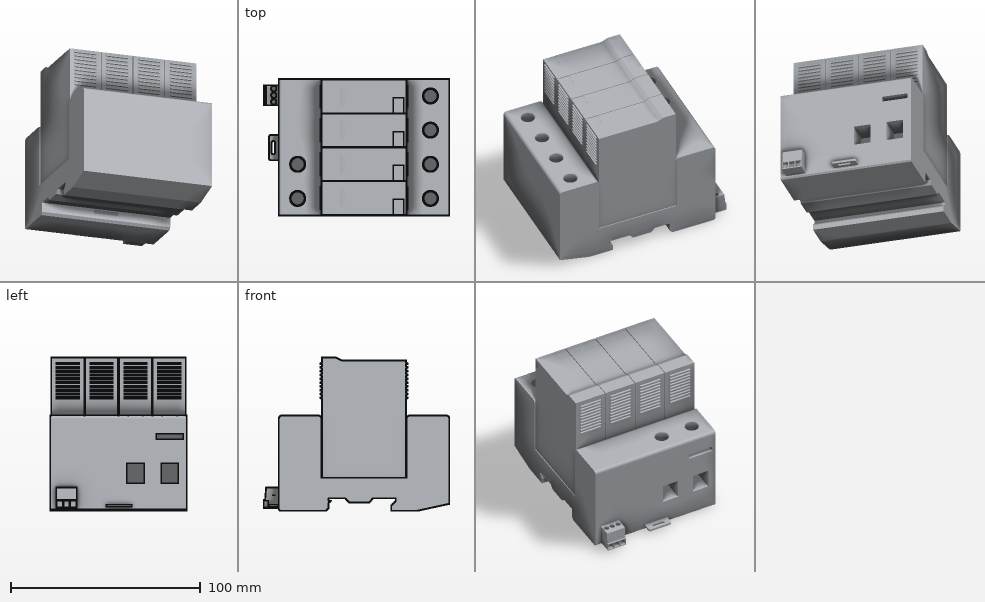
import cadquery as cq


pole_count = 4
pole_pitch = 18.0
base_length = 90.0
base_width = pole_count * pole_pitch
shoulder_height = 50.4
edge_radius = 1.8
foot_chamfer = 0.8

bay_start = 22.55
bay_end = 67.4
bay_gap = 0.2
module_start = bay_start + bay_gap
module_end = bay_end - bay_gap
module_floor = 17.6
module_pitch = 17.85
module_width = 17.5
first_module_side = (base_width - (pole_count - 1) * module_pitch - module_width) / 2
total_height = 80.9
module_rear_height = 79.4
grip_end = 30.15
grip_edge_radius = 0.8
grip_slope_end = 33.2
grip_foot_radius = 1.6
window_start = 60.4
window_length = 5.6
window_width = 8.1
window_depth = 0.1

rib_count = 10
rib_pitch = 2.0
rib_root_height = 0.9
rib_tip_height = 0.5
rib_length = 12.0
rib_projection = 0.8
rib_top_center = 77.65

rail_start = 26.3
rail_lead_in = 1.4
rail_ceiling = 6.6
rail_end = 61.7
rail_hook_start = 59.3
rail_hook_bottom = 2.9
rail_hook_top = 5.2
keel_start = 35.1
keel_end = 49.7
keel_slope = 2.0
keel_bottom = 4.4
tail_start = 73.0
tail_rise = 3.7

well_diameter = 7.3
well_rim = 0.4
well_depth = 12.0
well_offset = 10.0
front_well_count = 2

entry_width = 9.1
entry_bottom = 14.5
entry_top = 25.2
entry_depth = 14.0
slit_side = 2.0
slit_width = 14.1
slit_bottom = 37.8
slit_height = 2.8
slit_depth = 5.0

signal_count = 3
signal_pitch = 3.5
signal_end_margin = 0.1
signal_width = signal_count * signal_pitch + 2 * signal_end_margin
signal_center = 63.4
signal_bottom = 1.5
signal_top = 12.4
signal_nose_top = 5.8
signal_reach = 7.95
signal_slope_foot = 7.2
signal_slope_head = 6.7
signal_lip_bevel = 0.25
signal_hole_offset = 2.6
signal_hole_diameter = 2.9
signal_hole_depth = 4.0
signal_socket_width = 3.1
signal_socket_height = 3.4
signal_socket_sill = 0.5
signal_socket_depth = 2.5

tab_start = 29.1
tab_end = 42.5
tab_reach = 5.1
tab_bottom = 2.1
tab_thickness = 1.2
tab_corner = 1.0
tab_slot_length = 7.0
tab_slot_width = 1.6
tab_slot_offset = 2.85
catch_bottom = 4.1
catch_top = 5.5
catch_reach = 1.4


def box(x_range, y_range, z_range):
    """Box spanning the given (low, high) limits on each axis."""
    size = [high - low for low, high in (x_range, y_range, z_range)]
    corner = (x_range[0], y_range[0], z_range[0])
    return cq.Workplane("XY").box(*size, centered=False).translate(corner)


def side_profile(y_start):
    """Sketch plane with local axes X and Z whose extrusion runs toward +Y."""
    return cq.Workplane("XZ", origin=(0, y_start, 0))


def pole_center(index):
    """Y of a pole's middle on the base."""
    return (index + 0.5) * pole_pitch


def make_base():
    outline = [
        (0, 0),
        (rail_start - rail_lead_in, 0),
        (rail_start, rail_lead_in),
        (rail_start, rail_ceiling),
        (keel_start, rail_ceiling),
        (keel_start + keel_slope, keel_bottom),
        (keel_end - keel_slope, keel_bottom),
        (keel_end, rail_ceiling),
        (rail_end, rail_ceiling),
        (rail_end, rail_hook_top),
        (rail_hook_start, rail_hook_bottom),
        (rail_hook_start, 0),
        (tail_start, 0),
        (base_length, tail_rise),
        (base_length, shoulder_height),
        (bay_end, shoulder_height),
        (bay_end, module_floor),
        (bay_start, module_floor),
        (bay_start, shoulder_height),
        (0, shoulder_height),
    ]
    base = side_profile(0).polyline(outline).close().extrude(-base_width)
    shoulder_edges = base.faces(">Z").edges("|Y")
    base = shoulder_edges.fillet(edge_radius)
    return base.faces("<X").edges("<Z").chamfer(foot_chamfer)


def make_rib_pair(side, center):
    """One bar through the module whose two ends project as tapered ribs."""
    root = rib_root_height / 2
    tip = rib_tip_height / 2
    front_tip = module_start - rib_projection
    rear_tip = module_end + rib_projection
    outline = [
        (front_tip, center - tip),
        (module_start, center - root),
        (module_end, center - root),
        (rear_tip, center - tip),
        (rear_tip, center + tip),
        (module_end, center + root),
        (module_start, center + root),
        (front_tip, center + tip),
    ]
    return side_profile(side).polyline(outline).close().extrude(-rib_length)


def make_module(index):
    """Plug-in module with a raised grip, an indicator window and cooling ribs."""
    side = first_module_side + index * module_pitch
    outline = [
        (module_start, module_floor),
        (module_end, module_floor),
        (module_end, module_rear_height),
        (grip_slope_end, module_rear_height),
        (grip_end, total_height),
        (module_start, total_height),
    ]
    module = side_profile(side).polyline(outline).close().extrude(-module_width)
    middle = side + module_width / 2
    grip_edge = cq.selectors.NearestToPointSelector((grip_end, middle, total_height))
    module = module.edges(grip_edge).fillet(grip_edge_radius)
    grip_foot = cq.selectors.NearestToPointSelector((grip_slope_end, middle, module_rear_height))
    module = module.edges(grip_foot).fillet(grip_foot_radius)
    window = box(
        (window_start, window_start + window_length),
        (side, side + window_width),
        (module_rear_height - window_depth, module_rear_height),
    )
    module = module.cut(window)

    rib_side = side + (module_width - rib_length) / 2
    for rib in range(rib_count):
        rib_center = rib_top_center - rib * rib_pitch
        module = module.union(make_rib_pair(rib_side, rib_center))
    return module


def make_well(x, y):
    """Screw well with a chamfered rim, sunk from the shoulder."""
    well = cq.Workplane("XY", origin=(x, y, shoulder_height - well_depth))
    well = well.circle(well_diameter / 2).extrude(well_depth)
    rim_radius = well_diameter / 2 + well_rim
    rim = cq.Workplane("XY", origin=(x, y, shoulder_height))
    rim = rim.circle(rim_radius).extrude(-well_rim, taper=45)
    return well.union(rim)


def cut_openings(base):
    for index in range(pole_count):
        base = base.cut(make_well(base_length - well_offset, pole_center(index)))
    for index in range(front_well_count):
        center = pole_center(index)
        base = base.cut(make_well(well_offset, center))
        base = base.cut(box(
            (0, entry_depth),
            (center - entry_width / 2, center + entry_width / 2),
            (entry_bottom, entry_top),
        ))
    return base.cut(box(
        (0, slit_depth),
        (slit_side, slit_side + slit_width),
        (slit_bottom, slit_bottom + slit_height),
    ))


def make_signal_block():
    outline = [
        (0, signal_bottom),
        (-signal_reach, signal_bottom),
        (-signal_reach, signal_nose_top),
        (-signal_slope_foot, signal_nose_top),
        (-signal_slope_head, signal_top - signal_lip_bevel),
        (-signal_slope_head + signal_lip_bevel, signal_top),
        (0, signal_top),
    ]
    block = side_profile(signal_center - signal_width / 2)
    block = block.polyline(outline).close().extrude(-signal_width)
    socket_bottom = signal_bottom + signal_socket_sill
    for index in range(signal_count):
        y = signal_center + (index - (signal_count - 1) / 2) * signal_pitch
        screw_hole = cq.Workplane("XY", origin=(-signal_hole_offset, y, signal_top))
        block = block.cut(screw_hole.circle(signal_hole_diameter / 2).extrude(-signal_hole_depth))
        block = block.cut(box(
            (-signal_reach, -signal_reach + signal_socket_depth),
            (y - signal_socket_width / 2, y + signal_socket_width / 2),
            (socket_bottom, socket_bottom + signal_socket_height),
        ))
    return block


def make_release_tab():
    tab = box((-tab_reach, 0), (tab_start, tab_end), (tab_bottom, tab_bottom + tab_thickness))
    tab = tab.edges("|Z and <X").fillet(tab_corner)
    slot = cq.Workplane("XY", origin=(-tab_slot_offset, (tab_start + tab_end) / 2, tab_bottom))
    slot = slot.slot2D(tab_slot_length, tab_slot_width, 90).extrude(tab_thickness)
    return tab.cut(slot)


def make_rail_catch():
    """Wedge on the rail recess wall, as wide as the release tab."""
    outline = [
        (rail_start, catch_bottom),
        (rail_start + catch_reach, catch_top),
        (rail_start, catch_top),
    ]
    return side_profile(tab_start).polyline(outline).close().extrude(-(tab_end - tab_start))


result = cut_openings(make_base())
for pole in range(pole_count):
    result = result.union(make_module(pole))
for fitting in (make_signal_block(), make_release_tab(), make_rail_catch()):
    result = result.union(fitting)